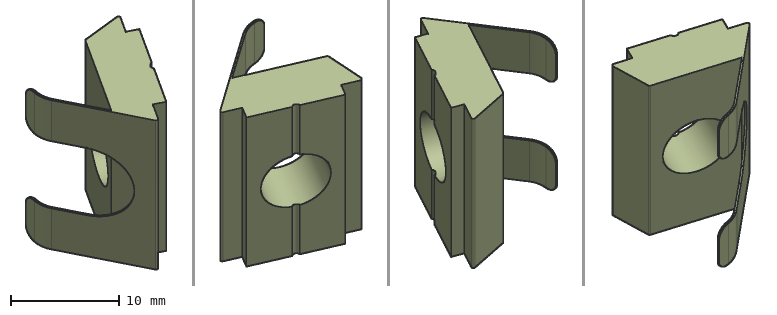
import cadquery as cq
import math

LENGTH = 20.0
BASE_HALF_WIDTH = 4.75
NECK_HALF_WIDTH = 4.8
NECK_HEIGHT = 1.3
BLOCK_DEPTH = 5.2
FLANK_ANGLE = 60.0
EDGE_RADIUS = 0.2
HOLE_DIAMETER = 6.8

GROOVE_RADIUS = 0.42
GROOVE_DEPTH = 0.25

LEAF_THICKNESS = 0.2
LEAF_STRAIGHT = 5.8
BEND_RADIUS = 3.05
TIP_ANGLE = 25.0
TIP_LENGTH = 1.25
TIP_CORNER_RADIUS = 1.25
GAP_WIDTH = 9.0
GAP_CENTER_DROP = 2.35


def direction(angle):
    """Unit vector in the XY plane."""
    return cq.Vector(math.cos(math.radians(angle)), math.sin(math.radians(angle)), 0)


def xy(*vectors):
    return [(v.x, v.y) for v in vectors]


flank = direction(FLANK_ANGLE)
flank_inward = direction(FLANK_ANGLE + 90)
tip = direction(TIP_ANGLE)
tip_inward = direction(TIP_ANGLE + 90)
leaf_root = cq.Vector(BASE_HALF_WIDTH, -BLOCK_DEPTH, 0)


def make_block():
    flank_rise = BLOCK_DEPTH - NECK_HEIGHT
    flange_half_width = BASE_HALF_WIDTH + flank_rise / math.tan(math.radians(FLANK_ANGLE))
    dovetail = (
        cq.Workplane("XY")
        .polyline([
            (-BASE_HALF_WIDTH, -BLOCK_DEPTH),
            (BASE_HALF_WIDTH, -BLOCK_DEPTH),
            (flange_half_width, -NECK_HEIGHT),
            (-flange_half_width, -NECK_HEIGHT),
        ])
        .close()
        .extrude(LENGTH)
    )
    dovetail = dovetail.edges("|Z and (>X or <X)").fillet(EDGE_RADIUS)
    dovetail = dovetail.edges(
        cq.selectors.NearestToPointSelector((-BASE_HALF_WIDTH, -BLOCK_DEPTH, LENGTH / 2))
    ).fillet(EDGE_RADIUS)
    neck = cq.Workplane("XY").box(
        2 * NECK_HALF_WIDTH, NECK_HEIGHT, LENGTH, centered=(True, False, False)
    ).translate((0, -NECK_HEIGHT, 0))
    groove = (
        cq.Workplane("XY")
        .center(0, GROOVE_RADIUS - GROOVE_DEPTH)
        .circle(GROOVE_RADIUS)
        .extrude(LENGTH)
    )
    return dovetail.union(neck).cut(groove)


def make_leaf():
    bend_start = leaf_root - flank * LEAF_STRAIGHT
    bend_center = bend_start + flank_inward * BEND_RADIUS
    mid_inward = direction((FLANK_ANGLE + TIP_ANGLE) / 2 + 90)
    bend_mid = bend_center - mid_inward * BEND_RADIUS
    bend_end = bend_center - tip_inward * BEND_RADIUS
    tip_end = bend_end - tip * TIP_LENGTH
    root = leaf_root + flank * LEAF_THICKNESS
    outer = xy(root, bend_start, bend_mid, bend_end, tip_end)
    step = flank_inward * LEAF_THICKNESS
    tip_step = tip_inward * LEAF_THICKNESS
    inner = xy(
        root + step, bend_start + step, bend_mid + mid_inward * LEAF_THICKNESS,
        bend_end + tip_step, tip_end + tip_step,
    )
    return (
        cq.Workplane("XY")
        .moveTo(*outer[0])
        .lineTo(*outer[1])
        .threePointArc(outer[2], outer[3])
        .lineTo(*outer[4])
        .lineTo(*inner[4])
        .lineTo(*inner[3])
        .threePointArc(inner[2], inner[1])
        .lineTo(*inner[0])
        .close()
        .extrude(LENGTH)
    )


def cut_gap(body):
    """Split the leaf into two fingers; the round end bites into the flank."""
    center = leaf_root - flank * GAP_CENTER_DROP + cq.Vector(0, 0, LENGTH / 2)
    round_end = (
        cq.Workplane(cq.Plane(center, xDir=flank, normal=flank_inward))
        .circle(GAP_WIDTH / 2)
        .extrude(LEAF_THICKNESS)
    )
    clearance = 2 * BLOCK_DEPTH
    straight = cq.Workplane("XY").box(
        2 * clearance, clearance, GAP_WIDTH
    ).translate((0, center.y - clearance / 2, LENGTH / 2))
    return body.cut(round_end).cut(straight)


def round_finger_tips(body):
    """Round the four corners of the finger ends."""
    thickness_edges = cq.selectors.ParallelDirSelector(tip_inward)
    tip_face = body.faces(cq.selectors.ParallelDirSelector(tip))
    return tip_face.edges(thickness_edges).fillet(TIP_CORNER_RADIUS)


hole = cq.Workplane("XZ").center(0, LENGTH / 2).circle(HOLE_DIAMETER / 2).extrude(BLOCK_DEPTH)

body = make_block().union(make_leaf())
result = round_finger_tips(cut_gap(body)).cut(hole)